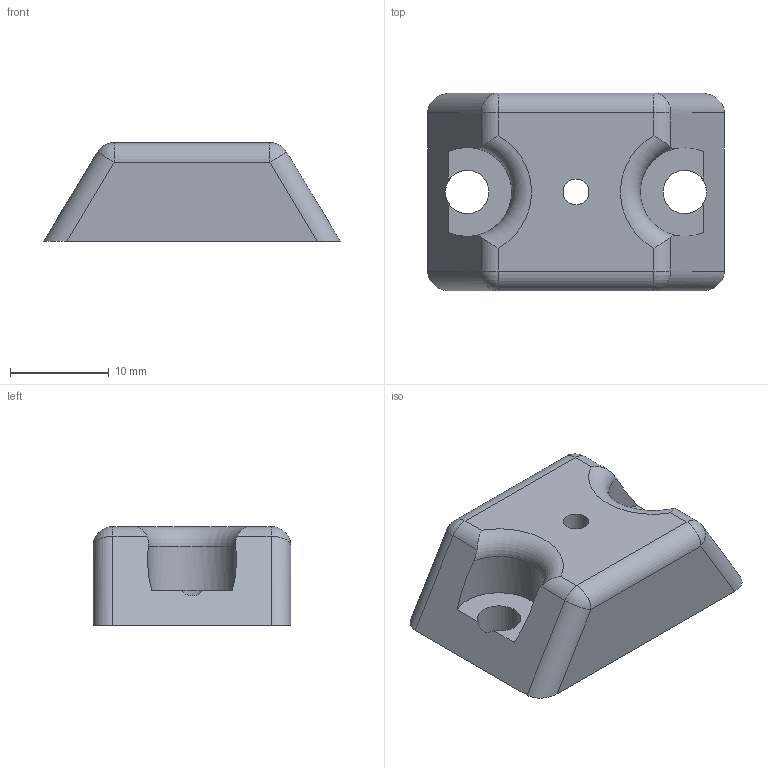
import cadquery as cq

base_length = 30.0
top_length = 18.0
width = 20.0
height = 10.0
edge_radius = 2.0

screw_offset = 11.0
screw_hole_diameter = 4.4
counterbore_diameter = 9.0
counterbore_floor = 3.5
mouth_radius = 2.0

centre_hole_diameter = 2.6


def make_body():
    """Trapezoidal block with every edge rounded except those of the base."""
    half_base = base_length / 2
    half_top = top_length / 2
    profile = [
        (-half_base, 0),
        (half_base, 0),
        (half_top, height),
        (-half_top, height),
    ]
    block = cq.Workplane("XZ").polyline(profile).close().extrude(width / 2, both=True)
    return block.edges("not(<Z)").fillet(edge_radius)


def make_through_hole(x, diameter):
    """Vertical cylinder through the full height."""
    return cq.Workplane("XY").center(x, 0).circle(diameter / 2).extrude(height)


def make_counterbore(x):
    """Flat-bottomed round cutter that flares out in a quarter arc at the top."""
    bore_radius = counterbore_diameter / 2
    flare_start = height - mouth_radius
    return (
        cq.Workplane("XZ", origin=(x, 0, 0))
        .moveTo(0, counterbore_floor)
        .lineTo(bore_radius, counterbore_floor)
        .lineTo(bore_radius, flare_start)
        .radiusArc((bore_radius + mouth_radius, height), mouth_radius)
        .lineTo(0, height)
        .close()
        .revolve(360, (0, 0, 0), (0, 1, 0))
    )


result = make_body().cut(make_through_hole(0, centre_hole_diameter))
for screw_x in (-screw_offset, screw_offset):
    result = result.cut(make_through_hole(screw_x, screw_hole_diameter))
    result = result.cut(make_counterbore(screw_x))